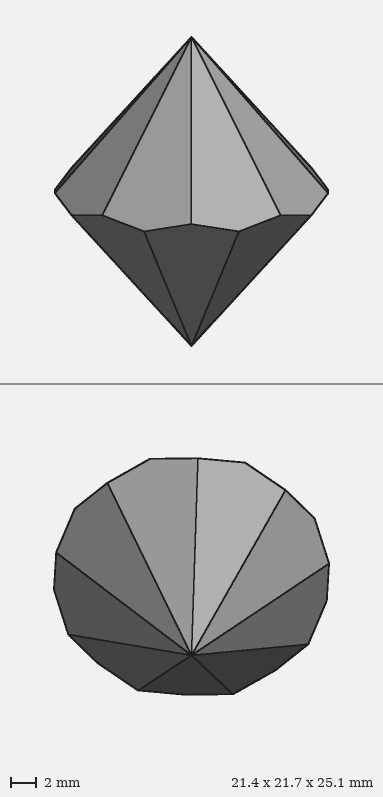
import cadquery as cq
import math

height = 25.1
girdle_diameter = 21.7
kites_per_side = 9

apex_z = height / 2
girdle_radius = girdle_diameter / 2
corner_count = 2 * kites_per_side
corner_step = 2 * math.pi / corner_count
first_corner_angle = math.pi / 2

step_cosine = math.cos(corner_step)
zigzag_z = apex_z * (1 - step_cosine) / (1 + step_cosine)


def girdle_corner(index):
    """Girdle corner: even indices are upper corners, odd ones lower."""
    angle = first_corner_angle + index * corner_step
    z = zigzag_z if index % 2 == 0 else -zigzag_z
    return cq.Vector(girdle_radius * math.cos(angle), girdle_radius * math.sin(angle), z)


def kite(middle_index):
    """Kite centred on a girdle corner; lower corners belong to top kites."""
    side = -1 if middle_index % 2 == 0 else 1
    corners = [cq.Vector(0, 0, side * apex_z)]
    corners += [girdle_corner(middle_index + offset) for offset in (-1, 0, 1)]
    return cq.Face.makeFromWires(cq.Wire.makePolygon(corners, close=True))


kites = [kite(index) for index in range(corner_count)]
result = cq.Workplane(cq.Solid.makeSolid(cq.Shell.makeShell(kites)))